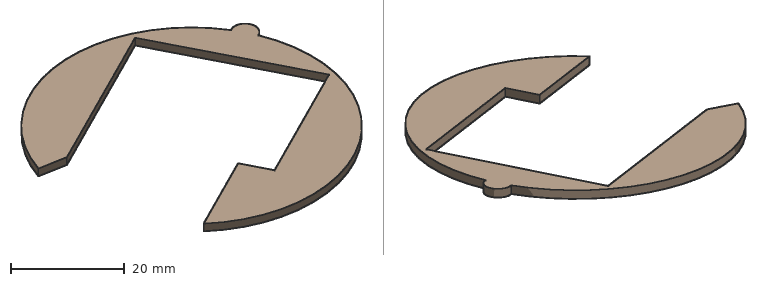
import cadquery as cq
import math

thickness = 1.7
overall_length = 60.4
disc_diameter = 59.95
disc_radius = disc_diameter / 2
tab_radius = 2.55

window_left = -17.8
window_right = 18.1
window_top = 22.35
ledge_y = -8.35
opening_right = 11.35
left_arm_corner_y = -16.0
left_arm_tip_x = -21.5
left_arm_tip_y = -20.9

right_arm_tip_y = -math.sqrt(disc_radius**2 - opening_right**2)
tab_center_y = right_arm_tip_y + overall_length - tab_radius

end_slope = (left_arm_corner_y - left_arm_tip_y) / (window_left - left_arm_tip_x)
rim_clearance = 6.05
clear_y = -disc_radius - rim_clearance
clear_x = left_arm_tip_x + (clear_y - left_arm_tip_y) / end_slope


def plate_blank():
    disc = cq.Workplane("XY").circle(disc_radius).extrude(thickness)
    tab = cq.Workplane("XY").center(0, tab_center_y).circle(tab_radius).extrude(thickness)
    return disc.union(tab)


def window_cutter():
    outline = [
        (window_left, window_top),
        (window_right, window_top),
        (window_right, ledge_y),
        (opening_right, ledge_y),
        (opening_right, clear_y),
        (clear_x, clear_y),
        (window_left, left_arm_corner_y),
    ]
    return cq.Workplane("XY").polyline(outline).close().extrude(thickness)


result = plate_blank().cut(window_cutter())